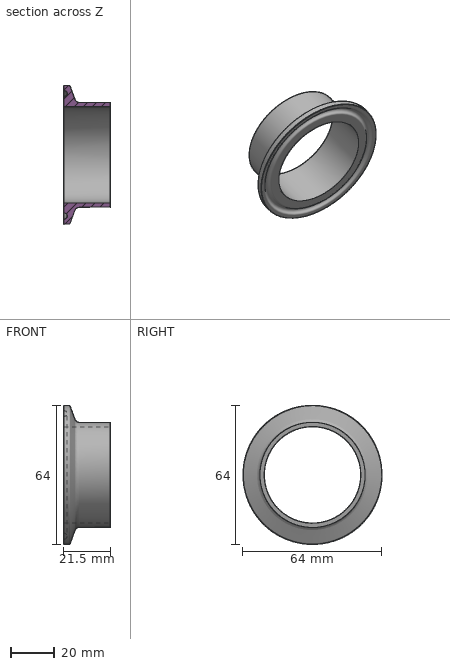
import cadquery as cq
import math

flange_radius = 32.0
tube_radius = 24.2
bore_radius = 22.15
length = 21.5
rim_end = 2.9
cone_angle = 20.0
rim_fillet = 0.8
neck_fillet = 2.0
face_chamfer = 0.2

groove_radius = 28.2
groove_half_width = 2.05
groove_round = 1.3
lip_round = 0.8
flank_angle = 65.0

cone_end = rim_end + (flange_radius - tube_radius) * math.tan(math.radians(cone_angle))


def make_body():
    """Revolve the flange, cone and tube, then round the rim and the neck."""
    body = (
        cq.Workplane("XY")
        .moveTo(0, bore_radius)
        .lineTo(0, flange_radius - face_chamfer)
        .lineTo(face_chamfer, flange_radius)
        .lineTo(rim_end, flange_radius)
        .lineTo(cone_end, tube_radius)
        .lineTo(length, tube_radius)
        .lineTo(length, bore_radius)
        .close()
        .revolve(360, (0, 0, 0), (1, 0, 0))
    )
    body = body.edges(ring_at(rim_end)).fillet(rim_fillet)
    return body.edges(ring_at(cone_end)).fillet(neck_fillet)


def ring_at(x):
    """Select the circular edges lying in the plane at the given X."""
    margin = 0.005
    reach = 2 * flange_radius
    return cq.selectors.BoxSelector((x - margin, -reach, -reach), (x + margin, reach, reach))


def make_groove():
    """Revolve the groove: rounded lips, short straight flanks and a round bottom, all tangent."""
    angle = math.radians(flank_angle)
    lip_x = lip_round * (1 - math.cos(angle))
    lip_offset = groove_half_width - lip_round * math.sin(angle)
    lip_mid_x = lip_round * (1 - math.cos(angle / 2))
    lip_mid_offset = groove_half_width - lip_round * math.sin(angle / 2)
    bottom_offset = groove_round * math.sin(angle)
    bottom_x = lip_x + (lip_offset - bottom_offset) * math.tan(angle)
    depth = bottom_x + groove_round * (1 - math.cos(angle))
    return (
        cq.Workplane("XY")
        .moveTo(0, groove_radius - groove_half_width)
        .threePointArc((lip_mid_x, groove_radius - lip_mid_offset), (lip_x, groove_radius - lip_offset))
        .lineTo(bottom_x, groove_radius - bottom_offset)
        .threePointArc((depth, groove_radius), (bottom_x, groove_radius + bottom_offset))
        .lineTo(lip_x, groove_radius + lip_offset)
        .threePointArc(
            (lip_mid_x, groove_radius + lip_mid_offset),
            (0, groove_radius + groove_half_width),
        )
        .close()
        .revolve(360, (0, 0, 0), (1, 0, 0))
    )


result = make_body().cut(make_groove())